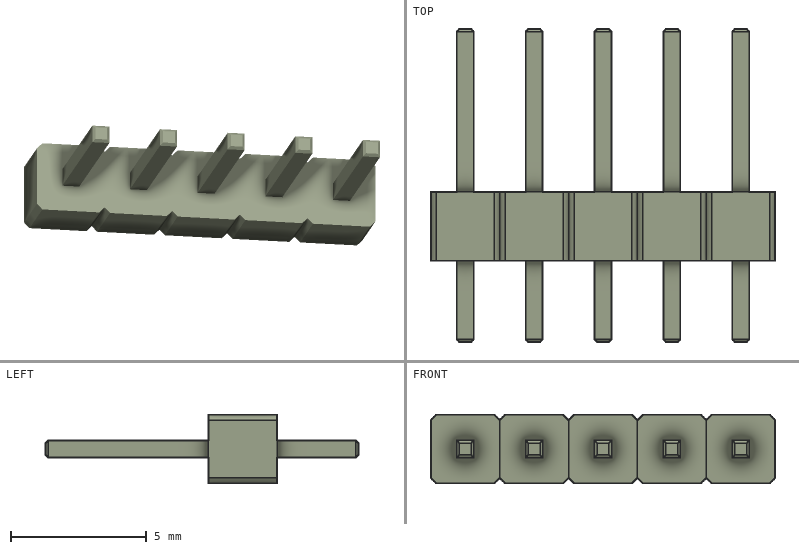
import cadquery as cq

pin_count = 5
row_length = 12.7
pitch = row_length / pin_count

block_height = pitch
block_depth = pitch
block_chamfer = 0.2

pin_width = 0.64
pin_length = 11.55
pin_front_reach = 3.0
pin_tip_chamfer = 0.1

block_start = 0.0
pin_start = block_start - pin_front_reach


def bar_along_y(width, height, length, start, x):
    """Rectangular bar centred at x and Z = 0, running from Y = start toward +Y."""
    return cq.Workplane("XY").box(width, length, height).translate((x, start + length / 2, 0))


def make_block(x):
    """Block with its four long edges chamfered and a square hole that fits the pin."""
    block = bar_along_y(pitch, block_height, block_depth, block_start, x)
    block = block.edges("|Y").chamfer(block_chamfer)
    pin_hole = bar_along_y(pin_width, pin_width, block_depth, block_start, x)
    return block.cut(pin_hole).solids().val()


def make_pin(x):
    """Square pin with both tips chamfered."""
    pin = bar_along_y(pin_width, pin_width, pin_length, pin_start, x)
    return pin.faces("<Y or >Y").chamfer(pin_tip_chamfer).solids().val()


pin_positions = [(i - (pin_count - 1) / 2) * pitch for i in range(pin_count)]
blocks = [make_block(x) for x in pin_positions]
pins = [make_pin(x) for x in pin_positions]

result = cq.Compound.makeCompound([*blocks, *pins])